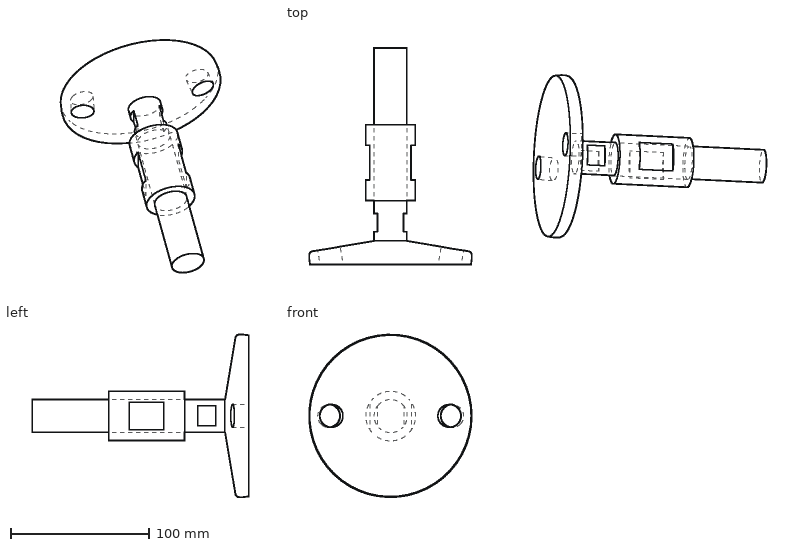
import cadquery as cq
import math

total_length = 157.0

plate_radius = 117.98 / 2
sole_inset = 0.55
sole_radius = plate_radius - sole_inset
band_start = 4.2
band_end = 6.9
shoulder_radius = 3.0
cone_angle = math.radians(9.5)

anchor_diameter = 16.5
anchor_pitch_radius = 44.7
anchor_cut_length = 60.0

spindle_diameter = 24.0
spindle_flat_width = 19.0
spindle_flat_length = 13.0
spindle_flat_middle = 30.5

sleeve_diameter = 36.0
sleeve_length = 55.0
sleeve_start = 46.5
sleeve_flat_width = 30.0
sleeve_flat_length = 25.0
sleeve_middle = sleeve_start + sleeve_length / 2

spindle_radius = spindle_diameter / 2
shoulder_center_radius = plate_radius - shoulder_radius
cone_edge_radius = shoulder_center_radius + shoulder_radius * math.sin(cone_angle)
cone_edge_height = band_end + shoulder_radius * math.cos(cone_angle)


def cone_height(radius):
    """Height of the conical top above the sole at a given radius."""
    return cone_edge_height + (cone_edge_radius - radius) * math.tan(cone_angle)


def cylinder(diameter, start, end):
    """Round bar on the Y axis between two heights."""
    return (
        cq.Workplane("XZ", origin=(0, start, 0))
        .circle(diameter / 2)
        .extrude(start - end)
    )


def cut_flats(bar, diameter, flat_width, flat_length, middle):
    """Cut a pair of wrench flats facing -X and +X."""
    depth = (diameter - flat_width) / 2
    for side in (-1, 1):
        offset = side * (flat_width + depth) / 2
        cutter = cq.Workplane("XY").box(depth, flat_length, diameter)
        bar = bar.cut(cutter.translate((offset, middle, 0)))
    return bar


def make_plate():
    """Revolved foot plate, flat across the spindle seat."""
    arc_angle = (math.pi / 2 - cone_angle) / 2
    arc_middle = (
        shoulder_center_radius + shoulder_radius * math.cos(arc_angle),
        band_end + shoulder_radius * math.sin(arc_angle),
    )
    seat_height = cone_height(spindle_radius)
    return (
        cq.Workplane("XY")
        .moveTo(0, 0)
        .lineTo(sole_radius, 0)
        .lineTo(plate_radius, band_start)
        .lineTo(plate_radius, band_end)
        .threePointArc(arc_middle, (cone_edge_radius, cone_edge_height))
        .lineTo(spindle_radius, seat_height)
        .lineTo(0, seat_height)
        .close()
        .revolve(360, (0, 0, 0), (0, 1, 0))
    )


def cut_anchor_holes(plate):
    """Cut the two opposite holes, each leaning outward with the cone normal."""
    for side in (-1, 1):
        point = cq.Vector(side * anchor_pitch_radius, cone_height(anchor_pitch_radius), 0)
        axis = cq.Vector(side * math.sin(cone_angle), math.cos(cone_angle), 0)
        cutter = cq.Solid.makeCylinder(
            anchor_diameter / 2,
            anchor_cut_length,
            point - axis * (anchor_cut_length / 2),
            axis,
        )
        plate = plate.cut(cq.Workplane(obj=cutter))
    return plate


def make_foot():
    """Foot plate and the spindle standing on it, as one solid."""
    spindle = cylinder(spindle_diameter, cone_height(spindle_radius), total_length)
    spindle = cut_flats(
        spindle, spindle_diameter, spindle_flat_width, spindle_flat_length, spindle_flat_middle
    )
    return cut_anchor_holes(make_plate()).union(spindle)


def make_sleeve():
    """Sleeve with wrench flats and a through bore that fits the spindle."""
    sleeve_end = sleeve_start + sleeve_length
    sleeve = cylinder(sleeve_diameter, sleeve_start, sleeve_end)
    sleeve = sleeve.cut(cylinder(spindle_diameter, sleeve_start, sleeve_end))
    return cut_flats(
        sleeve, sleeve_diameter, sleeve_flat_width, sleeve_flat_length, sleeve_middle
    )


foot = make_foot()
sleeve = make_sleeve()

result = cq.Compound.makeCompound([foot.solids().val(), sleeve.solids().val()])